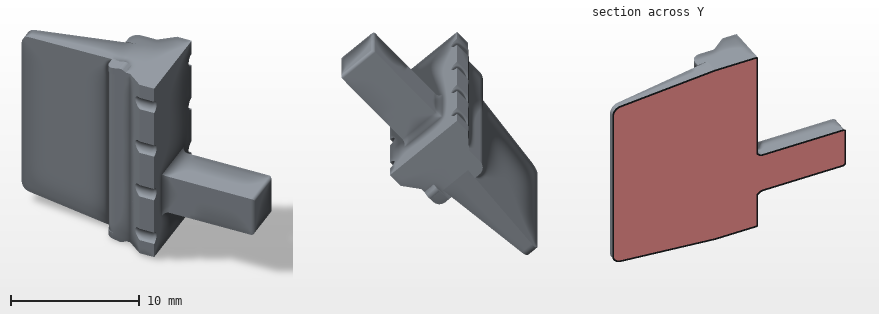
import cadquery as cq
import math


body_height = 16.18
body_depth = 4.6
flange_half_width = 3.5
flange_depth = 1.25
neck_half_width = 2.5
shoulder_depth = 2.52
neck_corner_radius = 0.8

groove_radius = 0.55
near_groove_depth = 0.45
far_groove_depth = 0.57
groove_pitch = 4.2
groove_count = 4

blade_tip_x = -12.72
blade_root_x = -3.72
blade_tip_half_width = 0.47
blade_root_half_width = 1.3
blade_tip_half_height = 7.36
blade_corner_radius = 0.75

shank_length = 7.73
shank_half_width = 1.72
shank_center_y = -0.05
shank_center_z = -3.1
shank_flare_length = 0.5
shank_flare_height = 0.25
shank_end_radius = 0.25

key_inner_y = -1.5
key_start_z = 7.6
key_crest_start_x = -3.54
key_crest_end_x = -3.15
key_end_x = -2.86
key_crest_start_z = 8.28
key_span = 16.63
key_crest_end_z = 8.26
key_corner_radius = 0.63

body_top_z = body_height / 2
key_top_z = key_span / 2


def make_body():
    """Flanged block, constant along Z, with two rounded front corners."""
    outline = [
        (0, flange_half_width),
        (-flange_depth, flange_half_width),
        (-shoulder_depth, neck_half_width),
        (-body_depth, neck_half_width),
        (-body_depth, -neck_half_width),
        (-shoulder_depth, -neck_half_width),
        (-flange_depth, -flange_half_width),
        (0, -flange_half_width),
    ]
    block = cq.Workplane("XY").polyline(outline).close().extrude(body_top_z, both=True)
    return block.edges("|Z and <X").fillet(neck_corner_radius)


def make_grooves():
    """Round grooves along X, evenly spaced on both sides of the flange."""
    axis_offset = flange_half_width + groove_radius
    near_y = near_groove_depth - axis_offset
    far_y = axis_offset - far_groove_depth
    first_z = -groove_pitch * (groove_count - 1) / 2
    centers = []
    for index in range(groove_count):
        for axis_y in (near_y, far_y):
            centers.append((axis_y, first_z + index * groove_pitch))
    cutters = cq.Workplane("YZ").pushPoints(centers).circle(groove_radius)
    return cutters.extrude(-body_depth)


def make_blade_slot():
    """Full-height prism on the blade's tapered plan, cutting its seat in the body."""
    return (
        cq.Workplane("XY")
        .moveTo(blade_tip_x, -blade_tip_half_width)
        .lineTo(blade_root_x, -blade_root_half_width)
        .lineTo(blade_root_x, blade_root_half_width)
        .lineTo(blade_tip_x, blade_tip_half_width)
        .close()
        .extrude(body_top_z, both=True)
    )


def make_blade():
    """Wedge that tapers to its tip in both width and height."""
    side = (
        cq.Workplane("XZ")
        .moveTo(blade_tip_x, -blade_tip_half_height)
        .lineTo(blade_root_x, -body_top_z)
        .lineTo(blade_root_x, body_top_z)
        .lineTo(blade_tip_x, blade_tip_half_height)
        .close()
        .extrude(blade_root_half_width, both=True)
        .edges("|Y and <X")
        .fillet(blade_corner_radius)
    )
    return make_blade_slot().intersect(side)


def shank_profile(plane):
    """Shank outline with an arc flare at the body and a rounded free end."""
    flare_radius = (shank_flare_length**2 + shank_flare_height**2) / (2 * shank_flare_height)
    half_flare = shank_flare_length / 2
    middle = shank_half_width + flare_radius - math.sqrt(flare_radius**2 - half_flare**2)
    base = shank_half_width + shank_flare_height
    return (
        cq.Workplane(plane)
        .moveTo(0, -base)
        .threePointArc((half_flare, -middle), (shank_flare_length, -shank_half_width))
        .lineTo(shank_length - shank_end_radius, -shank_half_width)
        .radiusArc((shank_length, -shank_half_width + shank_end_radius), -shank_end_radius)
        .lineTo(shank_length, shank_half_width - shank_end_radius)
        .radiusArc((shank_length - shank_end_radius, shank_half_width), -shank_end_radius)
        .lineTo(shank_flare_length, shank_half_width)
        .threePointArc((half_flare, middle), (0, base))
        .close()
        .extrude(base, both=True)
    )


def make_shank():
    """Square shank: the same outline crossed from two directions."""
    shank = shank_profile("XY").intersect(shank_profile("XZ"))
    return shank.translate((0, shank_center_y, shank_center_z))


def make_key():
    """Upper key, rising above the body top to a rounded crest."""
    crest_middle_x = (key_crest_start_x + key_crest_end_x) / 2
    return (
        cq.Workplane("XZ", origin=(0, key_inner_y, 0))
        .moveTo(-body_depth, key_start_z)
        .lineTo(-body_depth, body_top_z)
        .lineTo(key_crest_start_x, key_crest_start_z)
        .threePointArc((crest_middle_x, key_top_z), (key_crest_end_x, key_crest_end_z))
        .lineTo(key_end_x, body_top_z)
        .lineTo(key_end_x, key_start_z)
        .close()
        .extrude(neck_half_width + key_inner_y)
        .edges("|Z and <X and <Y")
        .fillet(key_corner_radius)
    )


key = make_key()
result = (
    make_body()
    .cut(make_grooves())
    .cut(make_blade_slot())
    .union(make_blade())
    .union(make_shank())
    .union(key)
    .union(key.mirror("XY"))
)